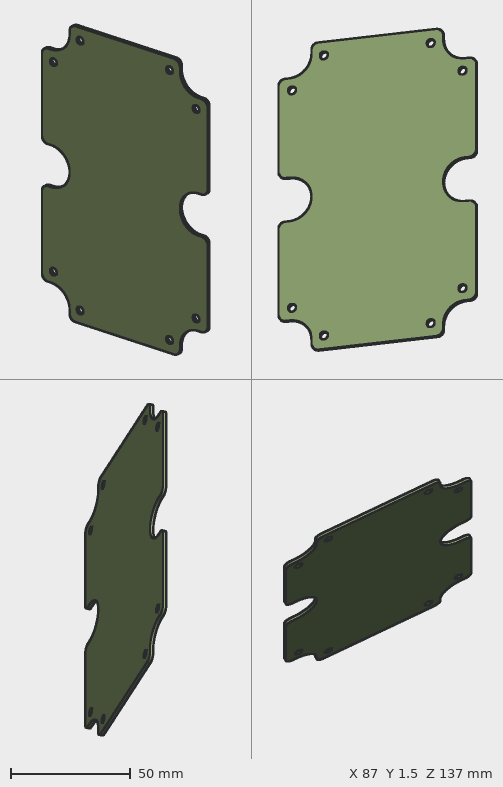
import cadquery as cq

width = 87.0
height = 137.0
thickness = 1.5

notch_depth = 14.5
notch_radius = 9.7
corner_radius = 3.0

hole_diameter = 3.4
hole_near_inset = 6.0
hole_far_inset = 20.0

half_width = width / 2
half_height = height / 2


def mirrored_points(points):
    """Repeat (x, z) points in all four quadrants of the plate."""
    return [
        (side_x * x, side_z * z)
        for x, z in points
        for side_x in (-1, 1)
        for side_z in (-1, 1)
    ]


plate = cq.Workplane("XZ").rect(width, height).extrude(thickness / 2, both=True)

corner_cutters = (
    cq.Workplane("XZ")
    .rect(width, height, forConstruction=True)
    .vertices()
    .rect(2 * notch_depth, 2 * notch_depth)
    .extrude(thickness, both=True)
    .edges("|Y")
    .fillet(notch_radius)
)
side_cutters = (
    cq.Workplane("XZ")
    .pushPoints([(-half_width, 0), (half_width, 0)])
    .slot2D(2 * notch_depth, 2 * notch_radius)
    .extrude(thickness, both=True)
)
plate = plate.cut(corner_cutters).cut(side_cutters)

notch_mouths = mirrored_points(
    [
        (half_width - notch_depth, half_height),
        (half_width, half_height - notch_depth),
        (half_width, notch_radius),
    ]
)
for x, z in notch_mouths:
    mouth_edge = cq.selectors.NearestToPointSelector((x, 0, z))
    plate = plate.edges("|Y").edges(mouth_edge).fillet(corner_radius)

hole_points = mirrored_points(
    [
        (half_width - hole_near_inset, half_height - hole_far_inset),
        (half_width - hole_far_inset, half_height - hole_near_inset),
    ]
)
holes = (
    cq.Workplane("XZ")
    .pushPoints(hole_points)
    .circle(hole_diameter / 2)
    .extrude(thickness, both=True)
)
result = plate.cut(holes)